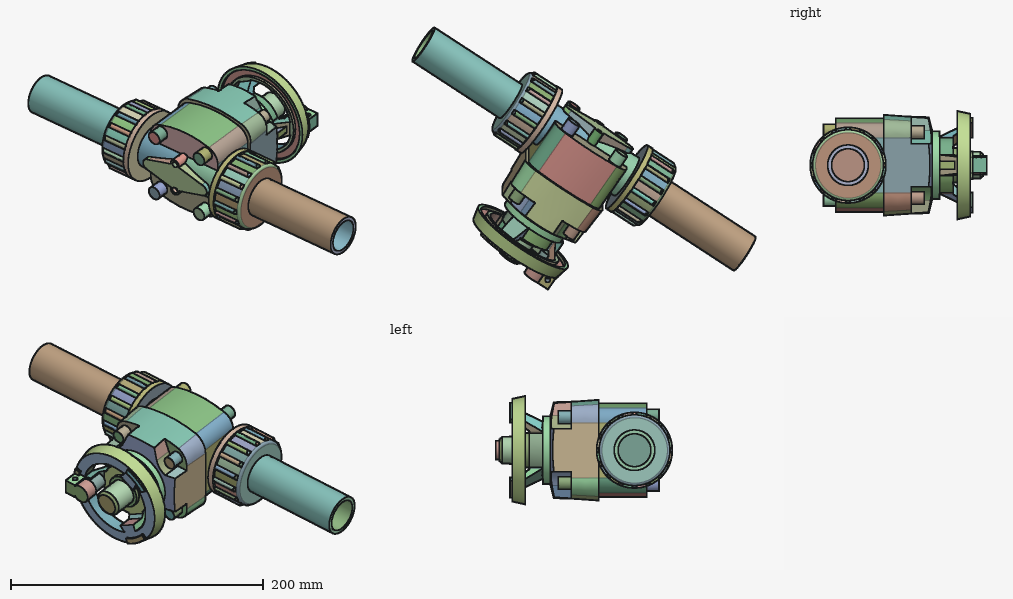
import cadquery as cq
import math


pipe_length = 306
pipe_diameter = 32.0
bore_diameter = 26.0
tube_diameter = 35.8

nut_inner_x = 40.7
nut_collar_width = 5.0
nut_outer_x = 69.8
nut_diameter = 60.0
nut_base_diameter = 56.0
nut_fillet = 2.0
nut_rib_count = 16
nut_rib_diameter = 4.0
nut_rib_bevel = 1.8

body_bottom_y = -9.8
body_top_y = 28.0
body_half_x = 34.0
body_half_z = 37.3
body_flat_half_z = 21.7
body_shoulder_x = 24.5
body_shoulder_z = 33.7

bonnet_overhang = 2.8
bonnet_top_y = 66.7
bonnet_taper = 3.3
bonnet_edge_y = 64.0
bonnet_edge_radius = 37.5
ring_diameter = 54.0
ring_top_y = 72.5
pocket_floor_y = 50.2
pocket_front_x = 12.2
pocket_arc_start = (17.0, 27.5)
pocket_arc_end = (26.3, 17.0)
pocket_side_z = 16.8
pocket_reach = 39.8

head_diameter = 10.0
head_height = 10.0
head_offset = 26.0
shank_diameter = 11.0
shank_end_y = -19.5
shank_x = 22.5
shank_z = 27.0

foot_y = -21.7
foot_half_length = 32.0
foot_tip_radius = 5.2
foot_half_width = 12.5
boss_diameter = 8.3
boss_hole_diameter = 5.0
boss_hole_depth = 4.5

neck_diameter = 43.8
neck_top_y = 83.2
hub_diameter = 27.5
fin_angles = (0, 120, 240)
fin_bottom_radius = 21.5
fin_bottom_half_width = 8.3
fin_top_radius = 30.0
fin_top_half_width = 6
fin_inner_radius = 24.5
wheel_overlap_radius = 32.5
lock_plate_end_x = 28.8
lock_plate_thickness = 6

wheel_bottom_y = 86.3
wheel_top_y = 96.7
wheel_bottom_diameter = 86.0
wheel_top_diameter = 81.5
wheel_window_diameter = 62.5
channel_outer_diameter = 80.2
channel_inner_diameter = 68.0
channel_depth = 2.5
pad_angles = (0, 127, 233)
pad_half_angle = 16
pad_inner_radius = 35.8
pad_outer_radius = 40.5
pad_height = 1.8

stem_diameter = 21.5
stem_top_y = 106.8
stem_chamfer = 2.0
knob_x = 24.5
knob_diameter = 15.0
knob_foot_diameter = 13.0
knob_bottom_y = 99.0
knob_top_y = 110.0
tab_inner_x = 30.0
tab_outer_x = 39.5
tab_thickness = 12.2
tab_hole_diameter = 4.0
tab_hole_x = 35.0
tab_hole_y = 103.5


def level(y):
    """Workplane at height y facing +Y, with its local x along X."""
    return cq.Workplane(cq.Plane(origin=(0, y, 0), xDir=(1, 0, 0), normal=(0, 1, 0)))


def post(diameter, y_start, y_end, x=0, z=0):
    """Round post along Y."""
    return level(y_start).center(x, -z).circle(diameter / 2).extrude(y_end - y_start)


def rod(diameter, length):
    """Round bar along X, centred on the origin."""
    return cq.Workplane("YZ").circle(diameter / 2).extrude(length / 2, both=True)


def box(x_start, x_end, y_start, y_end, thickness):
    """Block between the given X and Y, centred on Z = 0."""
    sketch = cq.Workplane("XY").moveTo(x_start, y_start).lineTo(x_end, y_start)
    return sketch.lineTo(x_end, y_end).lineTo(x_start, y_end).close().extrude(thickness / 2, both=True)


def mirror_to_four(x, z):
    """The four points at +-x and +-z."""
    return [(sx * x, sz * z) for sx in (-1, 1) for sz in (-1, 1)]


def body_outline(plane, margin=0):
    """Flat sides, rounded corners and bowed front and back, grown by margin."""
    flat_x = body_half_x + margin
    crown_z = body_half_z + margin
    flat_z = body_flat_half_z
    shoulder_x = body_shoulder_x + margin
    shoulder_z = body_shoulder_z + margin
    return (
        plane
        .moveTo(flat_x, -flat_z)
        .lineTo(flat_x, flat_z)
        .tangentArcPoint((shoulder_x, shoulder_z), relative=False)
        .threePointArc((0, crown_z), (-shoulder_x, shoulder_z))
        .tangentArcPoint((-flat_x, flat_z), relative=False)
        .lineTo(-flat_x, -flat_z)
        .tangentArcPoint((-shoulder_x, -shoulder_z), relative=False)
        .threePointArc((0, -crown_z), (shoulder_x, -shoulder_z))
        .tangentArcPoint((flat_x, -flat_z), relative=False)
        .close()
    )


def union_nut():
    """Nut on the +X side: a rounded sleeve with half-round ribs and a plain collar."""
    collar_end_x = nut_inner_x + nut_collar_width
    nut = rod(nut_base_diameter, 2 * nut_outer_x).edges().fillet(nut_fillet)
    nut = nut.union(rod(nut_diameter, 2 * collar_end_x))
    rib_end_x = nut_outer_x - nut_fillet
    ribs = (
        cq.Workplane("YZ", origin=(nut_inner_x, 0, 0))
        .polarArray(nut_base_diameter / 2, 0, 360, nut_rib_count)
        .circle(nut_rib_diameter / 2)
        .extrude(rib_end_x - nut_inner_x)
    )
    envelope = rod(nut_diameter, 2 * rib_end_x).faces(">X").chamfer(nut_rib_bevel)
    nut = nut.union(ribs.intersect(envelope))
    return nut.intersect(box(nut_inner_x, nut_outer_x, -nut_diameter, nut_diameter, 2 * nut_diameter))


def bonnet():
    """Tapered cover with a sloping top and a bolt pocket in each corner."""
    height = bonnet_top_y - body_top_y
    cover = body_outline(level(body_top_y), bonnet_overhang).extrude(height, taper=bonnet_taper)
    top_radius = ring_diameter / 2
    slope = (bonnet_top_y - bonnet_edge_y) / (bonnet_edge_radius - top_radius)
    far_radius = 2 * body_half_x
    roof = (
        cq.Workplane("XY")
        .moveTo(0, body_top_y)
        .lineTo(far_radius, body_top_y)
        .lineTo(far_radius, bonnet_top_y - slope * (far_radius - top_radius))
        .lineTo(top_radius, bonnet_top_y)
        .lineTo(0, bonnet_top_y)
        .close()
        .revolve(360, (0, 0, 0), (0, 1, 0))
    )
    cover = cover.intersect(roof)
    pocket = (
        level(pocket_floor_y)
        .moveTo(pocket_front_x, pocket_reach)
        .lineTo(*pocket_arc_start)
        .tangentArcPoint(pocket_arc_end, relative=False)
        .lineTo(pocket_reach, pocket_side_z)
        .lineTo(pocket_reach, pocket_reach)
        .close()
        .extrude(height)
    )
    for cut in (pocket, pocket.mirror("YZ")):
        cover = cover.cut(cut).cut(cut.mirror("XY"))
    return cover.union(post(ring_diameter, pocket_floor_y, ring_top_y))


def bolts():
    """Four bolt heads in the pockets and four bolt ends under the body."""
    heads = level(pocket_floor_y).pushPoints(mirror_to_four(head_offset, head_offset))
    ends = level(shank_end_y).pushPoints(mirror_to_four(shank_x, shank_z))
    return (
        heads.circle(head_diameter / 2).extrude(head_height)
        .union(ends.circle(shank_diameter / 2).extrude(body_top_y - shank_end_y))
    )


def foot():
    """Diamond foot plate under the tube, with a screw boss on each side."""
    tip_x = foot_half_length - foot_tip_radius
    diamond = [
        (-tip_x, foot_tip_radius),
        (0, foot_half_width),
        (tip_x, foot_tip_radius),
        (tip_x, -foot_tip_radius),
        (0, -foot_half_width),
        (-tip_x, -foot_tip_radius),
    ]
    plate = level(foot_y).polyline(diamond).close().extrude(-foot_y)
    for side in (-1, 1):
        plate = plate.union(post(2 * foot_tip_radius, foot_y, 0, side * tip_x))
        plate = plate.union(post(boss_diameter, foot_y, 0, 0, side * foot_half_width))
    hole_end_y = foot_y + boss_hole_depth
    for side in (-1, 1):
        plate = plate.cut(post(boss_hole_diameter, foot_y, hole_end_y, 0, side * foot_half_width))
    return plate


def neck():
    """Round neck and stem hub, with three outer fins that rise into the wheel window."""
    shape = post(neck_diameter, ring_top_y, neck_top_y)
    shape = shape.union(post(hub_diameter, neck_top_y, wheel_bottom_y))
    plan_points = [
        (0, -fin_bottom_half_width),
        (fin_bottom_radius, -fin_bottom_half_width),
        (wheel_overlap_radius, -fin_top_half_width),
        (wheel_overlap_radius, fin_top_half_width),
        (fin_bottom_radius, fin_bottom_half_width),
        (0, fin_bottom_half_width),
    ]
    plan = level(ring_top_y).polyline(plan_points).close().extrude(wheel_top_y - ring_top_y)
    profile_points = [
        (0, ring_top_y),
        (fin_bottom_radius, ring_top_y),
        (fin_top_radius, wheel_bottom_y),
        (wheel_overlap_radius, wheel_bottom_y),
        (wheel_overlap_radius, wheel_top_y),
        (fin_inner_radius, wheel_top_y),
        (fin_inner_radius, wheel_bottom_y),
        (neck_diameter / 2, neck_top_y),
        (0, neck_top_y),
    ]
    profile = cq.Workplane("XY").polyline(profile_points).close().extrude(neck_diameter, both=True)
    fin = plan.intersect(profile)
    for angle in fin_angles:
        shape = shape.union(fin.rotate((0, 0, 0), (0, 1, 0), angle))
    lock_plate = box(fin_bottom_radius, lock_plate_end_x, ring_top_y, wheel_bottom_y, lock_plate_thickness)
    return shape.union(lock_plate.cut(post(2 * fin_inner_radius, neck_top_y, wheel_bottom_y)))


def pad(angle):
    """Raised ring sector on top of the rim."""
    def at(radius, turn):
        a = math.radians(angle + turn)
        return (radius * math.cos(a), radius * math.sin(a))

    return (
        level(wheel_top_y)
        .moveTo(*at(pad_inner_radius, -pad_half_angle))
        .lineTo(*at(pad_outer_radius, -pad_half_angle))
        .threePointArc(at(pad_outer_radius, 0), at(pad_outer_radius, pad_half_angle))
        .lineTo(*at(pad_inner_radius, pad_half_angle))
        .threePointArc(at(pad_inner_radius, 0), at(pad_inner_radius, -pad_half_angle))
        .close()
        .extrude(pad_height)
    )


def handwheel():
    """Conical rim with an underside channel and raised pads."""
    wheel = (
        cq.Workplane("XY")
        .moveTo(wheel_window_diameter / 2, wheel_bottom_y)
        .lineTo(wheel_bottom_diameter / 2, wheel_bottom_y)
        .lineTo(wheel_top_diameter / 2, wheel_top_y)
        .lineTo(wheel_window_diameter / 2, wheel_top_y)
        .close()
        .revolve(360, (0, 0, 0), (0, 1, 0))
    )
    channel = post(channel_outer_diameter, wheel_bottom_y, wheel_bottom_y + channel_depth).cut(
        post(channel_inner_diameter, wheel_bottom_y, wheel_bottom_y + channel_depth)
    )
    wheel = wheel.cut(channel)
    for angle in pad_angles:
        wheel = wheel.union(pad(angle))
    return wheel


def knob():
    """Finger knob on the wheel, with a drilled tab on its outer side."""
    shape = post(knob_foot_diameter, wheel_bottom_y, knob_bottom_y, knob_x)
    shape = shape.union(post(knob_diameter, knob_bottom_y, knob_top_y, knob_x))
    shape = shape.union(box(tab_inner_x, tab_outer_x, wheel_top_y, knob_top_y, tab_thickness))
    hole = cq.Workplane("XY").center(tab_hole_x, tab_hole_y).circle(tab_hole_diameter / 2)
    return shape.cut(hole.extrude(tab_thickness, both=True))


stem = post(stem_diameter, ring_top_y, stem_top_y).faces(">Y").chamfer(stem_chamfer)
body = body_outline(level(body_bottom_y)).extrude(body_top_y - body_bottom_y)
pipe = rod(pipe_diameter, pipe_length).union(rod(tube_diameter, 2 * nut_inner_x))
nut = union_nut()

result = pipe.union(body).union(nut).union(nut.mirror("YZ"))
for piece in (bonnet(), bolts(), foot(), neck(), handwheel(), knob(), stem):
    result = result.union(piece)

bore_depth = pipe_length / 2 - body_half_x
bore = cq.Workplane("YZ", origin=(body_half_x, 0, 0)).circle(bore_diameter / 2).extrude(bore_depth)
result = result.cut(bore).cut(bore.mirror("YZ"))